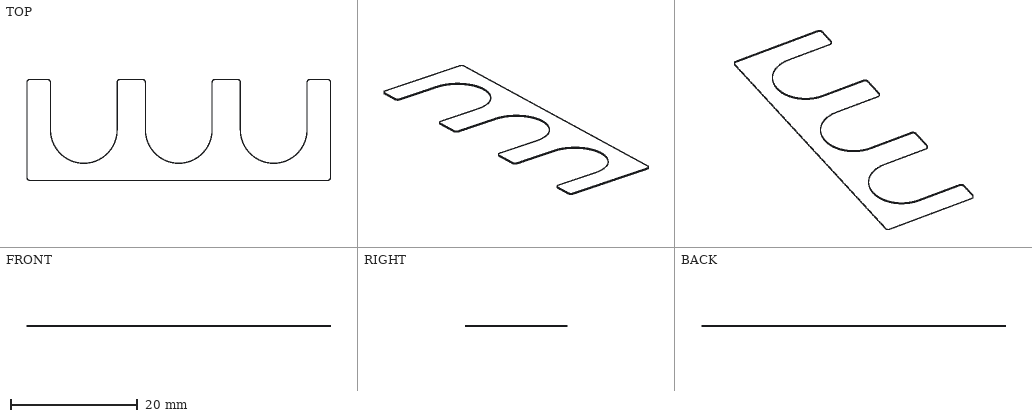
import cadquery as cq

length = 48.0
width = 16.0
thickness = 0.2
corner_radius = 0.5

slot_count = 3
slot_pitch = 15.0
slot_width = 10.5
slot_radius = slot_width / 2
slot_center_y = 0.0


def make_plate():
    return cq.Workplane("XY").box(length, width, thickness, centered=(True, True, False))


def make_slot(center_x):
    """U-shaped cutter: round at the bottom, open through the +Y edge."""
    left = center_x - slot_radius
    right = center_x + slot_radius
    open_edge_y = width / 2
    return (
        cq.Workplane("XY")
        .moveTo(left, open_edge_y)
        .lineTo(left, slot_center_y)
        .threePointArc((center_x, slot_center_y - slot_radius), (right, slot_center_y))
        .lineTo(right, open_edge_y)
        .close()
        .extrude(thickness)
    )


def round_corners(plate):
    """Round the outer plate corners and the finger tips."""
    tip_edges = plate.faces(">Y").edges("|Z")
    base_edges = plate.faces("<Y").edges("|Z")
    return plate.newObject(tip_edges.vals() + base_edges.vals()).fillet(corner_radius)


plate = make_plate()
for index in range(slot_count):
    slot_x = (index - (slot_count - 1) / 2) * slot_pitch
    plate = plate.cut(make_slot(slot_x))

result = round_corners(plate)